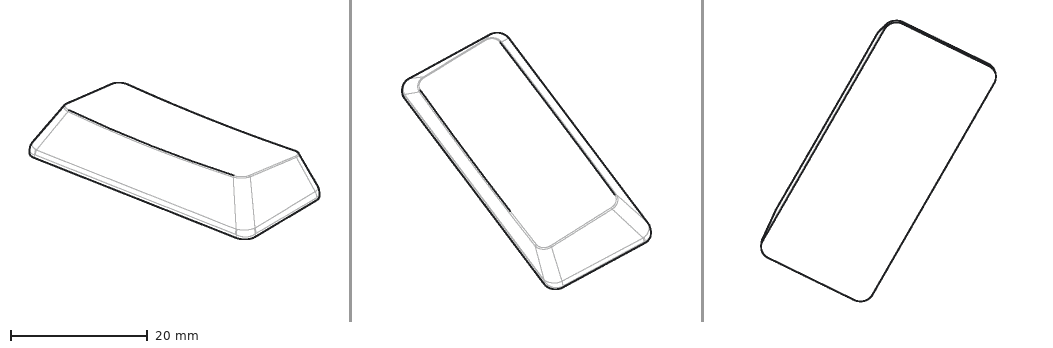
import cadquery as cq
import math

length = 41.95
width = 18.17
foot_corner_radius = 1.97
skirt_height = 1.0
skirt_bend_radius = 1.6

roof_tilt = 7.0
roof_length = 34.0
roof_width = 13.85
roof_offset = 1.65
roof_corner_radius = 1.75
roof_height = 7.3

dish_radius = 306.4
dish_depth = 0.92
rim_radius = 0.25

roof_plane = cq.Plane(
    origin=(0, roof_offset, roof_height),
    xDir=(1, 0, 0),
    normal=(0, math.sin(math.radians(roof_tilt)), math.cos(math.radians(roof_tilt))),
)


def rounded_rectangle(x_size, y_size, corner_radius):
    """Sketch of a centred rectangle with equal corner rounds."""
    return cq.Sketch().rect(x_size, y_size).vertices().fillet(corner_radius)


def walled_block():
    """Upright skirt, and four walls leaning in from it to the tilted roof."""
    footprint = rounded_rectangle(length, width, foot_corner_radius)
    skirt = cq.Workplane().placeSketch(footprint).extrude(skirt_height)
    wall_foot = footprint.moved(cq.Location(cq.Vector(0, 0, skirt_height)))
    roof = rounded_rectangle(roof_length, roof_width, roof_corner_radius)
    wall_head = roof.moved(cq.Location(roof_plane))
    walls = cq.Workplane().placeSketch(wall_foot, wall_head).loft(ruled=True)
    block = skirt.union(walls)
    level_band = 0.05
    bend_edges = cq.selectors.BoxSelector(
        (-length, -width, skirt_height - level_band),
        (length, width, skirt_height + level_band),
    )
    return block.edges(bend_edges).fillet(skirt_bend_radius)


def dish():
    """Large cylinder whose underside hollows the top."""
    profile = cq.Workplane(roof_plane).transformed(rotate=(90, 0, 0))
    profile = profile.center(0, dish_radius - dish_depth)
    return profile.circle(dish_radius).extrude(width, both=True)


body = walled_block().cut(dish())
top_face = body.faces(cq.selectors.AreaNthSelector(-2))
result = top_face.edges().fillet(rim_radius)